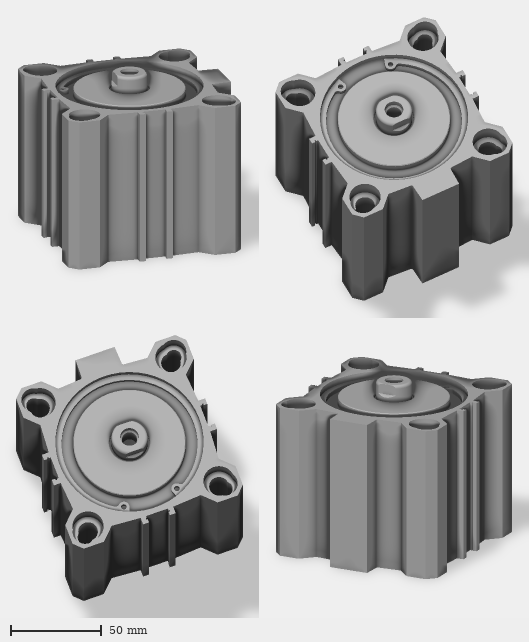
import cadquery as cq
import math


overall_length = 105.0

housing_height = 85.9
half_width = 50.0
lug_chamfer = 4.8
lug_end = 33.4
waist_corner = 26.1
waist = half_width - (lug_end - waist_corner)
wall_middle = 43.9

rail_tip = 47.9
rail_outer = 9.6
rail_inner = 6.4
rail_notch = 7.0
rail_lip = 6.1
notch_start = 45.0
notch_end = 45.9

block_tip = overall_length - half_width
block_tip_half = 11.4
block_foot_half = 11.9
block_foot_fillet = 1.0

inner_hole_place = 38.4
inner_hole_diameter = 10.8
inner_counterbore_diameter = 17.2
outer_hole_place = 41.1
outer_hole_diameter = 8.4
outer_counterbore_diameter = 13.9
counterbore_depth = 8.8

recess_diameter = 81.7
groove_diameter = 85.6
ring_depth = 3.6
ring_thickness = 2.5
ring_inner_diameter = 75.0
ring_gap_angle = 20.2
ear_radius = 3.0
ear_place_radius = 36.9
ear_hole_diameter = 3.0
ear_blend_radius = 2.1

cover_thickness = 15.8
boss_diameter = 62.0
boss_drop = 1.0
boss_chamfer = 0.4
boss_foot_fillet = 0.6
cover_top = housing_height - ring_depth - ring_thickness
cover_bottom = cover_top - cover_thickness
boss_top = housing_height - boss_drop
wiper_rim_diameter = 23.0
wiper_seat_diameter = 21.9
wiper_seat_depth = 1.6
lead_in_diameter = 20.6

rod_diameter = 20.0
rod_top = 94.0
rod_edge_fillet = 1.7
flat_width = 17.0
flat_bottom = 88.2
rod_hole_mouth_diameter = 10.3
rod_hole_mouth_depth = 3.4
rod_hole_diameter = 8.4
rod_hole_depth = 15.8
drill_tip_angle = 118.0


def cylinder(diameter, bottom, top):
    return cq.Workplane("XY").workplane(offset=bottom).circle(diameter / 2).extrude(top - bottom)


def prism(points, bottom, top):
    return cq.Workplane("XY").workplane(offset=bottom).polyline(points).close().extrude(top - bottom)


def housing_core():
    """Lugs and bulged walls, one side repeated four times around the axis."""
    lug_tip = half_width - lug_chamfer
    side = [
        (-lug_tip, -half_width),
        (-lug_end, -half_width),
        (-waist_corner, -waist),
        (-rail_outer, -wall_middle),
        (rail_outer, -wall_middle),
        (waist_corner, -waist),
        (lug_end, -half_width),
        (lug_tip, -half_width),
    ]
    outline = list(side)
    for _ in range(3):
        side = [(-y, x) for x, y in side]
        outline += side
    return prism(outline, 0, housing_height)


def rail_pair():
    """The two rails of the -Y side, with lips facing each other."""
    profile = [
        (rail_outer, -waist),
        (rail_outer, -rail_tip),
        (rail_lip, -rail_tip),
        (rail_lip, -notch_end),
        (rail_notch, -notch_end),
        (rail_notch, -notch_start),
        (rail_inner, -notch_start),
        (rail_inner, -waist),
    ]
    rail = prism(profile, 0, housing_height)
    return rail.union(rail.mirror("YZ"))


def port_block():
    profile = [
        (-block_foot_half, waist),
        (block_foot_half, waist),
        (block_tip_half, block_tip),
        (-block_tip_half, block_tip),
    ]
    return prism(profile, 0, housing_height)


def mounting_hole(x_sign, y_sign):
    floor = housing_height - counterbore_depth
    hole = None
    for place, drill, counterbore in (
        (inner_hole_place, inner_hole_diameter, inner_counterbore_diameter),
        (outer_hole_place, outer_hole_diameter, outer_counterbore_diameter),
    ):
        centre = (x_sign * place, y_sign * place, 0)
        step = cylinder(drill, 0, housing_height)
        step = step.union(cylinder(counterbore, floor, housing_height)).translate(centre)
        hole = step if hole is None else hole.union(step)
    return hole


def make_housing():
    body = housing_core().union(port_block())
    foot_height = housing_height / 2
    for x_sign in (-1, 1):
        foot = (x_sign * block_foot_half, wall_middle, foot_height)
        body = body.edges(cq.selectors.NearestToPointSelector(foot)).fillet(block_foot_fillet)
    for angle in (-90, 0, 90):
        body = body.union(rail_pair().rotate((0, 0, 0), (0, 0, 1), angle))
    for x_sign in (-1, 1):
        for y_sign in (-1, 1):
            body = body.cut(mounting_hole(x_sign, y_sign))
    ring_top = housing_height - ring_depth
    body = body.cut(cylinder(recess_diameter, cover_bottom, housing_height))
    return body.cut(cylinder(groove_diameter, cover_top, ring_top))


def make_snap_ring():
    """Open ring with an ear at each end of the gap, which faces -Y."""
    top = housing_height - ring_depth
    ring = cylinder(groove_diameter, cover_top, top).cut(cylinder(ring_inner_diameter, cover_top, top))
    tilt = math.radians(ring_gap_angle)
    gap = [
        (0, 0),
        (-groove_diameter * math.tan(tilt), -groove_diameter),
        (groove_diameter * math.tan(tilt), -groove_diameter),
    ]
    ring = ring.cut(prism(gap, cover_top, top))
    ear_angle = tilt + math.asin(ear_radius / ear_place_radius)
    for x_sign in (-1, 1):
        ear_x = x_sign * ear_place_radius * math.sin(ear_angle)
        ear_y = -ear_place_radius * math.cos(ear_angle)
        ear = cylinder(2 * ear_radius, cover_top, top).translate((ear_x, ear_y, 0))
        ring = ring.union(ear)
        corner_angle = ear_angle + 2 * math.asin(ear_radius / (2 * ear_place_radius))
        corner = (
            x_sign * ring_inner_diameter / 2 * math.sin(corner_angle),
            -ring_inner_diameter / 2 * math.cos(corner_angle),
            (cover_top + top) / 2,
        )
        ring = ring.edges("|Z").edges(cq.selectors.NearestToPointSelector(corner)).fillet(ear_blend_radius)
        ring = ring.cut(cylinder(ear_hole_diameter, cover_top, top).translate((ear_x, ear_y, 0)))
    return ring


def make_cover():
    """Flange and boss turned around the rod, with a stepped wiper seat at the rod."""
    bore = rod_diameter / 2
    lead_in = lead_in_diameter / 2
    seat = wiper_seat_diameter / 2
    rim = wiper_rim_diameter / 2
    boss = boss_diameter / 2
    flange = recess_diameter / 2
    seat_floor = boss_top - wiper_seat_depth
    foot_centre = (boss + boss_foot_fillet, cover_top + boss_foot_fillet)
    foot_middle = tuple(c - boss_foot_fillet * math.sqrt(0.5) for c in foot_centre)
    section = (
        cq.Workplane("XZ")
        .moveTo(bore, cover_bottom)
        .lineTo(bore, seat_floor - (lead_in - bore))
        .lineTo(lead_in, seat_floor)
        .lineTo(seat, seat_floor)
        .lineTo(seat, boss_top - (rim - seat))
        .lineTo(rim, boss_top)
        .lineTo(boss - boss_chamfer, boss_top)
        .lineTo(boss, boss_top - boss_chamfer)
        .lineTo(boss, cover_top + boss_foot_fillet)
        .threePointArc(foot_middle, (boss + boss_foot_fillet, cover_top))
        .lineTo(flange, cover_top)
        .lineTo(flange, cover_bottom)
        .close()
    )
    return section.revolve(360, (0, 0, 0), (0, 1, 0))


def wrench_flat():
    """Cutter for the -Y flat; its lower end slopes out at 45 degrees."""
    flat = flat_width / 2
    outside = rod_diameter
    profile = [
        (-flat, flat_bottom),
        (-outside, flat_bottom - (outside - flat)),
        (-outside, rod_top),
        (-flat, rod_top),
    ]
    return cq.Workplane("YZ").polyline(profile).close().extrude(rod_diameter / 2, both=True)


def rod_hole():
    mouth_floor = rod_top - rod_hole_mouth_depth
    bevel = (rod_hole_mouth_diameter - rod_hole_diameter) / 2
    bottom = rod_top - rod_hole_depth
    tip = rod_hole_diameter / 2 / math.tan(math.radians(drill_tip_angle / 2))
    profile = [
        (0, rod_top),
        (rod_hole_mouth_diameter / 2, rod_top),
        (rod_hole_mouth_diameter / 2, mouth_floor),
        (rod_hole_diameter / 2, mouth_floor - bevel),
        (rod_hole_diameter / 2, bottom),
        (0, bottom - tip),
    ]
    return cq.Workplane("XZ").polyline(profile).close().revolve(360, (0, 0, 0), (0, 1, 0))


def make_rod():
    rod = cylinder(rod_diameter, cover_bottom, rod_top).faces(">Z").edges().fillet(rod_edge_fillet)
    rod = rod.cut(wrench_flat()).cut(wrench_flat().mirror("XZ"))
    return rod.cut(rod_hole())


housing = make_housing()
cover = make_cover()
snap_ring = make_snap_ring()
rod = make_rod()

result = cq.Compound.makeCompound([housing.val(), cover.val(), snap_ring.val(), rod.val()])